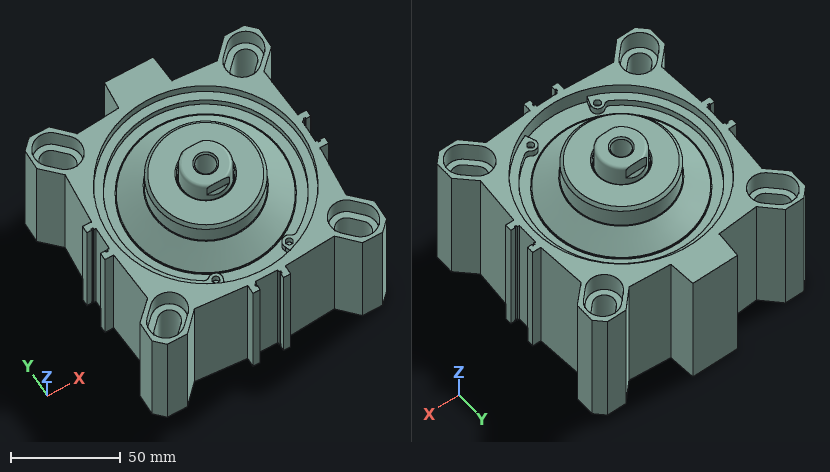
import cadquery as cq
import math


housing_width = 124.0
overall_depth = 131.0
overall_height = 91.5
housing_height = 70.7

half_width = housing_width / 2
port_block_face = overall_depth - half_width

ear_chamfer = 5.1
ear_flat_end = 46.2
root_offset = 37.0
root_distance = 52.5
side_flat_half = 10.0
side_distance = 54.5

rib_outer = side_flat_half
rib_inner = 6.2
rib_foot_inner = 5.9
rib_tip = 59.2
notch_depth = 0.7
notch_start = 55.5
notch_end = 56.6
rail_side_angles = (0, 90, 270)

port_half_tip = 13.0
port_half_base = 14.0

slot_center = 49.1
slot_angle = 45.0
slot_pitch = 6.5
slot_width = 11.0
slot_recess_width = 17.4
slot_recess_depth = 11.3

bore_diameter = 102.2
pocket_floor = 39.3
ring_bottom = 61.3
ring_top = 65.2
ring_inner_radius = 46.6
lug_radius = 3.4
lug_hole_diameter = 3.5
lug_center_radius = 46.2
lug_angle = 24.8
lug_blend_radius = 2.6

boss_diameter = 56.0
boss_top = 81.5
boss_chamfer = 1.6
cone_plinth_radius = 41.3
cone_radius = 40.7
cone_foot = 62.0
cone_top = 69.4
cone_ledge = 0.5
rod_bore_diameter = 25.5
entry_diameter = 26.9
entry_depth = 2.0
entry_mouth_diameter = 28.0

rod_diameter = 25.0
rod_round = 1.7
flat_distance = 11.0
flat_bottom = 84.5
thread_diameter = 10.1
thread_mouth_diameter = 11.8
thread_depth = 19.6
drill_point_angle = 118.0


def ears_and_sides():
    """Prism whose outline is one side with two half ears, repeated around the axis."""
    side = [
        (-half_width + ear_chamfer, -half_width),
        (-ear_flat_end, -half_width),
        (-root_offset, -root_distance),
        (-side_flat_half, -side_distance),
    ]
    side += [(-x, y) for x, y in reversed(side)]
    outline = []
    for quarter in range(4):
        c = round(math.cos(quarter * math.pi / 2))
        s = round(math.sin(quarter * math.pi / 2))
        outline += [(c * x - s * y, s * x + c * y) for x, y in side]
    return cq.Workplane("XY").polyline(outline).close().extrude(housing_height)


def rib_pair():
    """The two notched ribs of a sensor rail on the -Y side."""
    notch_inner = rib_inner + notch_depth
    right_rib = (
        cq.Workplane("XY")
        .polyline([
            (rib_outer, -root_distance),
            (rib_outer, -rib_tip),
            (rib_inner, -rib_tip),
            (rib_inner, -notch_end),
            (notch_inner, -notch_end),
            (notch_inner, -notch_start),
            (rib_foot_inner, -notch_start),
            (rib_foot_inner, -root_distance),
        ])
        .close()
        .extrude(housing_height)
    )
    return right_rib.union(right_rib.mirror("YZ"))


def port_block():
    return (
        cq.Workplane("XY")
        .polyline([
            (-port_half_base, root_distance),
            (-port_half_base, side_distance),
            (-port_half_tip, port_block_face),
            (port_half_tip, port_block_face),
            (port_half_base, side_distance),
            (port_half_base, root_distance),
        ])
        .close()
        .extrude(housing_height)
    )


def mounting_slot():
    """Through slot with a wider recess at the top, along the diagonal of the +X +Y ear."""
    through = (
        cq.Workplane("XY")
        .slot2D(slot_pitch + slot_width, slot_width)
        .extrude(housing_height)
    )
    recess = (
        cq.Workplane("XY", origin=(0, 0, housing_height - slot_recess_depth))
        .slot2D(slot_pitch + slot_recess_width, slot_recess_width)
        .extrude(slot_recess_depth)
    )
    slot = through.union(recess).rotate((0, 0, 0), (0, 0, 1), slot_angle)
    return slot.translate((slot_center, slot_center, 0))


def make_housing():
    body = ears_and_sides().union(port_block())
    for angle in rail_side_angles:
        body = body.union(rib_pair().rotate((0, 0, 0), (0, 0, 1), angle))
    for quarter in range(4):
        body = body.cut(mounting_slot().rotate((0, 0, 0), (0, 0, 1), 90 * quarter))
    bore = (
        cq.Workplane("XY", origin=(0, 0, pocket_floor))
        .circle(bore_diameter / 2)
        .extrude(housing_height - pocket_floor)
    )
    return body.cut(bore)


def make_rod_cover():
    """Turned disc with a conical face that rises to the boss around the rod."""
    boss_radius = boss_diameter / 2
    rod_bore_radius = rod_bore_diameter / 2
    mouth_depth = (entry_mouth_diameter - entry_diameter) / 2
    return (
        cq.Workplane("XZ")
        .polyline([
            (rod_bore_radius, pocket_floor),
            (bore_diameter / 2, pocket_floor),
            (bore_diameter / 2, ring_bottom),
            (cone_plinth_radius, ring_bottom),
            (cone_plinth_radius, cone_foot),
            (cone_radius, cone_foot),
            (boss_radius + cone_ledge, cone_top),
            (boss_radius, cone_top),
            (boss_radius, boss_top - boss_chamfer),
            (boss_radius - boss_chamfer, boss_top),
            (entry_mouth_diameter / 2, boss_top),
            (entry_diameter / 2, boss_top - mouth_depth),
            (entry_diameter / 2, boss_top - entry_depth),
            (rod_bore_radius, boss_top - entry_depth),
        ])
        .close()
        .revolve(360, (0, 0, 0), (0, 1, 0))
    )


def make_retaining_ring():
    """Internal ring, open towards -Y, with a holed lug at each end."""
    thickness = ring_top - ring_bottom
    base = cq.Workplane("XY", origin=(0, 0, ring_bottom))
    swing = math.radians(lug_angle)
    lug_x = lug_center_radius * math.sin(swing)
    lug_y = -lug_center_radius * math.cos(swing)
    lug_centers = [(lug_x, lug_y), (-lug_x, lug_y)]

    gap_half_angle = swing - math.asin(lug_radius / lug_center_radius)
    gap_reach = bore_diameter
    gap_x = gap_reach * math.sin(gap_half_angle)
    gap_y = -gap_reach * math.cos(gap_half_angle)
    gap = base.polyline([(0, 0), (gap_x, gap_y), (-gap_x, gap_y)]).close().extrude(thickness)

    band = base.circle(bore_diameter / 2).circle(ring_inner_radius).extrude(thickness)
    lugs = base.pushPoints(lug_centers).circle(lug_radius).extrude(thickness)
    ring = band.cut(gap).union(lugs)

    square_sum = lug_center_radius**2 + ring_inner_radius**2 - lug_radius**2
    corner_swing = math.acos(square_sum / (2 * lug_center_radius * ring_inner_radius))
    corner_angle = swing + corner_swing
    corner_x = ring_inner_radius * math.sin(corner_angle)
    corner_y = -ring_inner_radius * math.cos(corner_angle)
    middle = (ring_bottom + ring_top) / 2
    for side in (-1, 1):
        corner = cq.selectors.NearestToPointSelector((side * corner_x, corner_y, middle))
        ring = ring.edges("|Z").edges(corner).fillet(lug_blend_radius)

    holes = base.pushPoints(lug_centers).circle(lug_hole_diameter / 2).extrude(thickness)
    return ring.cut(holes)


def wrench_flat():
    """Cutter for the flat on the +Y side, with a 45 degree run-out at its lower end."""
    reach = rod_diameter
    run = reach - flat_distance
    return (
        cq.Workplane("YZ")
        .polyline([
            (flat_distance, flat_bottom),
            (reach, flat_bottom - run),
            (reach, overall_height),
            (flat_distance, overall_height),
        ])
        .close()
        .extrude(rod_diameter, both=True)
    )


def make_piston_rod():
    rod = (
        cq.Workplane("XY", origin=(0, 0, pocket_floor))
        .circle(rod_diameter / 2)
        .extrude(overall_height - pocket_floor)
        .faces(">Z")
        .edges()
        .fillet(rod_round)
    )
    for angle in (0, 180):
        rod = rod.cut(wrench_flat().rotate((0, 0, 0), (0, 0, 1), angle))

    thread_radius = thread_diameter / 2
    mouth_radius = thread_mouth_diameter / 2
    thread_end = overall_height - thread_depth
    point_length = thread_radius / math.tan(math.radians(drill_point_angle / 2))
    thread_hole = (
        cq.Workplane("XZ")
        .polyline([
            (0, overall_height),
            (mouth_radius, overall_height),
            (thread_radius, overall_height - (mouth_radius - thread_radius)),
            (thread_radius, thread_end),
            (0, thread_end - point_length),
        ])
        .close()
        .revolve(360, (0, 0, 0), (0, 1, 0))
    )
    return rod.cut(thread_hole)


housing = make_housing()
rod_cover = make_rod_cover()
retaining_ring = make_retaining_ring()
piston_rod = make_piston_rod()

result = cq.Compound.makeCompound([
    housing.solids().val(),
    rod_cover.solids().val(),
    retaining_ring.solids().val(),
    piston_rod.solids().val(),
])